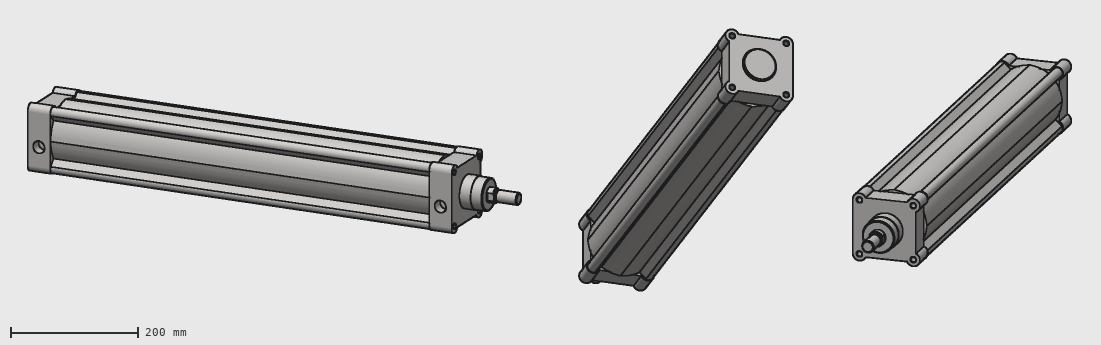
import cadquery as cq
import math


total_length = 833.0
pilot_height = 4.0
cap_length = 39.0
barrel_length = 659.5
collar_length = 19.0
nose_length = 20.0
shank_length = 13.0
neck_length = 2.5

rear_cap_x = pilot_height
barrel_x = rear_cap_x + cap_length
front_cap_x = barrel_x + barrel_length
boss_x = front_cap_x + cap_length
nose_x = boss_x + collar_length
rod_x = nose_x + nose_length
neck_x = rod_x + shank_length
thread_x = neck_x + neck_length

cap_width = 111.5
bolt_spacing = 89.0
block_width = 98.0
bolt_offset = bolt_spacing / 2
lug_radius = cap_width / 2 - bolt_offset

bolt_hole_radius = 4.0
bolt_hole_depth = 20.0
bolt_hole_chamfer = 1.0

port_radius = 10.0
port_depth = 20.0
port_z = -12.0

boss_radius = 27.5
nose_radius = 27.0
nose_chamfer = 2.0
pilot_chamfer = 2.0

tube_radius = 53.0
ridge_half_width = 9.0
rib_half_width = 8.0
lobe_offset = 46.0
lobe_radius = 8.75

rod_radius = 12.5
rod_chamfer = 2.0
neck_radius = 9.0
thread_radius = 10.0
thread_chamfer = 2.0
wrench_width = 22.0
wrench_gap = 2.5


def section(x):
    """Workplane across the cylinder axis at x; local axes are Y and Z, normal is +X."""
    return cq.Workplane("YZ", origin=(x, 0, 0))


def end_cap(x, outer_face_x, inward):
    """Square cap starting at x, with four corner lugs, a flush port face on -Y and a port.

    The bolt holes start at outer_face_x and run in the X direction given by inward, 1 or -1.
    """
    half_cap = cap_width / 2
    corners = [(side * bolt_offset, level * bolt_offset) for side in (-1, 1) for level in (-1, 1)]

    cap = section(x).rect(block_width, block_width).extrude(cap_length)
    cap = cap.union(section(x).pushPoints(corners).circle(lug_radius).extrude(cap_length))
    port_pad = (
        section(x)
        .center(-(half_cap + bolt_offset) / 2, 0)
        .rect(half_cap - bolt_offset, bolt_spacing)
        .extrude(cap_length)
    )
    cap = cap.union(port_pad).clean()

    mouth_radius = bolt_hole_radius + bolt_hole_chamfer
    direction = cq.Vector(inward, 0, 0)
    for y, z in corners:
        start = cq.Vector(outer_face_x, y, z)
        hole = cq.Solid.makeCylinder(bolt_hole_radius, bolt_hole_depth, start, direction)
        mouth = cq.Solid.makeCone(mouth_radius, bolt_hole_radius, bolt_hole_chamfer, start, direction)
        cap = cap.cut(cq.Workplane(hole)).cut(cq.Workplane(mouth))

    port_start = cq.Vector(x + cap_length / 2, -half_cap, port_z)
    port = cq.Solid.makeCylinder(port_radius, port_depth, port_start, cq.Vector(0, 1, 0))
    return cap.cut(cq.Workplane(port))


def make_rear_cap():
    pilot = section(0).circle(boss_radius).extrude(pilot_height)
    pilot = pilot.faces("<X").chamfer(pilot_chamfer)
    return end_cap(rear_cap_x, rear_cap_x, 1).union(pilot)


def make_front_cap():
    collar = section(boss_x).circle(boss_radius).extrude(collar_length)
    nose = section(nose_x).circle(nose_radius).extrude(nose_length)
    nose = nose.faces(">X").chamfer(nose_chamfer)
    return end_cap(front_cap_x, boss_x, -1).union(collar).union(nose)


def turned(point, angle):
    """The point rotated about the axis by an angle in radians."""
    u, v = point
    return (u * math.cos(angle) - v * math.sin(angle), u * math.sin(angle) + v * math.cos(angle))


def make_barrel():
    """Extruded tube; each quarter of its outline is symmetric about a corner diagonal."""
    quarter = math.pi / 2
    ridge_angle = math.asin(ridge_half_width / tube_radius)
    ridge_peak = (tube_radius / math.cos(ridge_angle), 0)
    ridge_end_angle = quarter / 2 - ridge_angle

    foot_angle = math.asin(rib_half_width / tube_radius)
    lobe_distance = lobe_offset * math.sqrt(2)
    lobe_start_u = lobe_distance + math.sqrt(lobe_radius**2 - rib_half_width**2)
    ridge_end = turned((tube_radius, 0), ridge_end_angle)
    tube_middle = turned((tube_radius, 0), (ridge_end_angle + foot_angle) / 2)
    foot = turned((tube_radius, 0), foot_angle)
    lobe_start = (lobe_start_u, rib_half_width)
    lobe_tip = (lobe_distance + lobe_radius, 0)

    def mirrored(point):
        return (point[0], -point[1])

    outline = section(barrel_x).moveTo(*ridge_peak)
    sides = 4
    for number in range(sides):
        start = number * quarter
        diagonal = start + quarter / 2
        outline = (
            outline.lineTo(*turned(mirrored(ridge_end), diagonal))
            .threePointArc(turned(mirrored(tube_middle), diagonal), turned(mirrored(foot), diagonal))
            .lineTo(*turned(mirrored(lobe_start), diagonal))
            .threePointArc(turned(lobe_tip, diagonal), turned(lobe_start, diagonal))
            .lineTo(*turned(foot, diagonal))
            .threePointArc(turned(tube_middle, diagonal), turned(ridge_end, diagonal))
        )
        if number < sides - 1:
            outline = outline.lineTo(*turned(ridge_peak, start + quarter))
    return outline.close().extrude(barrel_length)


def make_rod():
    shank = section(rod_x).circle(rod_radius).extrude(shank_length)
    shank = shank.faces(">X").chamfer(rod_chamfer)
    flats_x = rod_x + wrench_gap
    flats_length = neck_x - flats_x
    cutter_depth = rod_radius
    for side in (-1, 1):
        cutter = (
            section(flats_x)
            .center(side * (wrench_width + cutter_depth) / 2, 0)
            .rect(cutter_depth, 2 * rod_radius)
            .extrude(flats_length)
        )
        shank = shank.cut(cutter)

    neck = section(neck_x).circle(neck_radius).extrude(neck_length)
    thread = section(thread_x).circle(thread_radius).extrude(total_length - thread_x)
    thread = thread.faces(">X").chamfer(thread_chamfer)
    return shank.union(neck).union(thread)


rear_cap = make_rear_cap()
barrel = make_barrel()
front_cap = make_front_cap()
rod = make_rod()

result = cq.Compound.makeCompound([rear_cap.val(), barrel.val(), front_cap.val(), rod.val()])